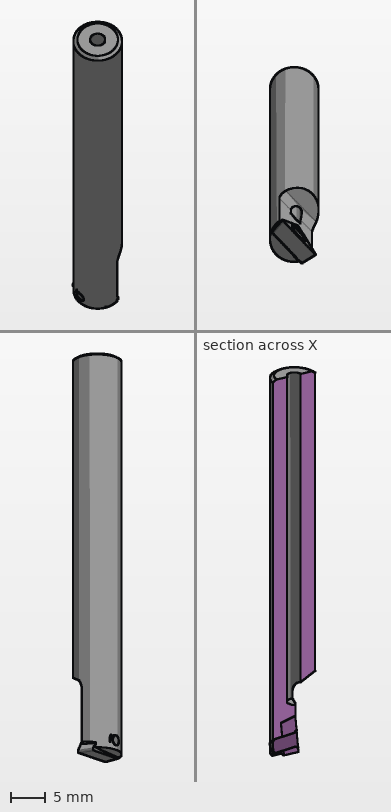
import cadquery as cq
import math

TOTAL_LENGTH = 60.0
BAR_DIAMETER = 7.0
BAR_RADIUS = BAR_DIAMETER / 2
BAR_END_Z = 0.55
TOP_CHAMFER_HEIGHT = 0.35
TOP_CHAMFER_WIDTH = 0.6

CLEARANCE_HEIGHT = 1.0
CLEARANCE_WIDTH = 1.55

NECK_FLAT_Y = 0.3
RUNOUT_TOP_Z = 12.4
RUNOUT_SLOPE = 28.0
RUNOUT_RADIUS = 1.9

COOLANT_RADIUS = 1.1
COOLANT_BOTTOM_Z = 8.4
DRILL_POINT_ANGLE = 118.0

INSERT_TILT = 5.0
INSERT_TURN = 3.0
INSERT_INSCRIBED_RADIUS = 2.15
HALF_CORNER_ANGLE = 30.0
INSERT_THICKNESS = 2.4
INSERT_RELIEF = 5.0
INSERT_NOSE_RADIUS = 0.25
INSERT_CENTER_X = -0.3
INSERT_CENTER_Y = 0.6

SCREW_RADIUS = 1.1
SCREW_HEAD_RADIUS = 1.45
SCREW_TIP_CHAMFER = 0.35
SCREW_LENGTH = 4.1

tilt = math.radians(INSERT_TILT)
corner_reach = 2 * INSERT_INSCRIBED_RADIUS
nose_center_reach = corner_reach - 2 * INSERT_NOSE_RADIUS
nose_drop = nose_center_reach * math.sin(math.radians(HALF_CORNER_ANGLE + INSERT_TURN)) + INSERT_NOSE_RADIUS
INSERT_CENTER = (INSERT_CENTER_X, INSERT_CENTER_Y, nose_drop * math.cos(tilt))

INSERT_PLANE = cq.Plane(origin=INSERT_CENTER, xDir=(1, 0, 0), normal=(0, -math.cos(tilt), -math.sin(tilt)))


def make_shank():
    """Round bar with a flat chamfer at its top end."""
    chamfer_radius = BAR_RADIUS - TOP_CHAMFER_WIDTH
    return (
        cq.Workplane("XZ")
        .moveTo(0, BAR_END_Z)
        .lineTo(BAR_RADIUS, BAR_END_Z)
        .lineTo(BAR_RADIUS, TOTAL_LENGTH - TOP_CHAMFER_HEIGHT)
        .lineTo(chamfer_radius, TOTAL_LENGTH)
        .lineTo(0, TOTAL_LENGTH)
        .close()
        .revolve(360, (0, 0), (0, 1))
    )


def make_neck_cutter():
    """Material removed on the +Y side to leave the flat neck."""
    slope = math.radians(RUNOUT_SLOPE)
    center_y = NECK_FLAT_Y + RUNOUT_RADIUS
    arc_end_y = center_y - RUNOUT_RADIUS * math.sin(slope)
    arc_end_z = RUNOUT_TOP_Z - (BAR_RADIUS - arc_end_y) * math.tan(slope)
    center_z = arc_end_z - RUNOUT_RADIUS * math.cos(slope)
    middle = (slope + math.pi / 2) / 2
    outer_y = 2 * BAR_RADIUS
    outer_z = arc_end_z + (outer_y - arc_end_y) * math.tan(slope)
    return (
        cq.Workplane("YZ")
        .moveTo(NECK_FLAT_Y, 0)
        .lineTo(NECK_FLAT_Y, center_z)
        .threePointArc(
            (center_y - RUNOUT_RADIUS * math.sin(middle), center_z + RUNOUT_RADIUS * math.cos(middle)),
            (arc_end_y, arc_end_z),
        )
        .lineTo(outer_y, outer_z)
        .lineTo(outer_y, 0)
        .close()
        .extrude(BAR_RADIUS, both=True)
    )


def make_clearance_cutter():
    """Wedge that bevels the lower -X corner of the bar, as deep in Y as the insert."""
    insert_back_y = INSERT_CENTER_Y - INSERT_THICKNESS
    return (
        cq.Workplane("XZ", origin=(0, insert_back_y, 0))
        .moveTo(-BAR_RADIUS, BAR_END_Z)
        .lineTo(-BAR_RADIUS, BAR_END_Z + CLEARANCE_HEIGHT)
        .lineTo(-BAR_RADIUS + CLEARANCE_WIDTH, BAR_END_Z)
        .close()
        .extrude(-(BAR_RADIUS - insert_back_y))
    )


def make_coolant_cutter():
    """Straight drilled hole with a conical end."""
    point_depth = COOLANT_RADIUS / math.tan(math.radians(DRILL_POINT_ANGLE / 2))
    return (
        cq.Workplane("XZ")
        .moveTo(0, COOLANT_BOTTOM_Z - point_depth)
        .lineTo(COOLANT_RADIUS, COOLANT_BOTTOM_Z)
        .lineTo(COOLANT_RADIUS, TOTAL_LENGTH)
        .lineTo(0, TOTAL_LENGTH)
        .close()
        .revolve(360, (0, 0), (0, 1))
    )


def make_insert_blank():
    """Triangular plate with relieved flanks and rounded corners, without its screw hole."""
    corners = []
    for angle in (-HALF_CORNER_ANGLE, 90, 180 + HALF_CORNER_ANGLE):
        turned = math.radians(angle + INSERT_TURN)
        corners.append((corner_reach * math.cos(turned), corner_reach * math.sin(turned)))
    plate = cq.Workplane(INSERT_PLANE).polyline(corners).close().extrude(INSERT_THICKNESS, taper=INSERT_RELIEF)
    face_normal = INSERT_PLANE.zDir
    corner_edges = [edge for edge in plate.edges().vals() if abs(edge.tangentAt(0.5).dot(face_normal)) > 0.5]
    return plate.newObject(corner_edges).fillet(INSERT_NOSE_RADIUS)


def make_screw():
    """Countersunk screw, flush with the cutting face, with a chamfered tip."""
    head_height = SCREW_HEAD_RADIUS - SCREW_RADIUS
    axis_plane = cq.Plane(origin=INSERT_CENTER, xDir=(1, 0, 0), normal=INSERT_PLANE.yDir)
    return (
        cq.Workplane(axis_plane)
        .lineTo(SCREW_HEAD_RADIUS, 0)
        .lineTo(SCREW_RADIUS, -head_height)
        .lineTo(SCREW_RADIUS, SCREW_TIP_CHAMFER - SCREW_LENGTH)
        .lineTo(SCREW_RADIUS - SCREW_TIP_CHAMFER, -SCREW_LENGTH)
        .lineTo(0, -SCREW_LENGTH)
        .close()
        .revolve(360, (0, 0), (0, 1))
    )


def make_tip_opening_cutter():
    """Round opening in the bar surface that leaves the flat end of the screw uncovered."""
    tip_radius = SCREW_RADIUS - SCREW_TIP_CHAMFER
    return cq.Workplane(INSERT_PLANE).workplane(offset=SCREW_LENGTH).circle(tip_radius).extrude(BAR_RADIUS)


screw = make_screw()
insert_blank = make_insert_blank()
insert = insert_blank.cut(screw)
bar = (
    make_shank()
    .cut(make_neck_cutter())
    .cut(make_clearance_cutter())
    .cut(make_coolant_cutter())
    .cut(insert_blank)
    .cut(screw)
    .cut(make_tip_opening_cutter())
)

result = cq.Compound.makeCompound([bar.val(), insert.val(), screw.val()])